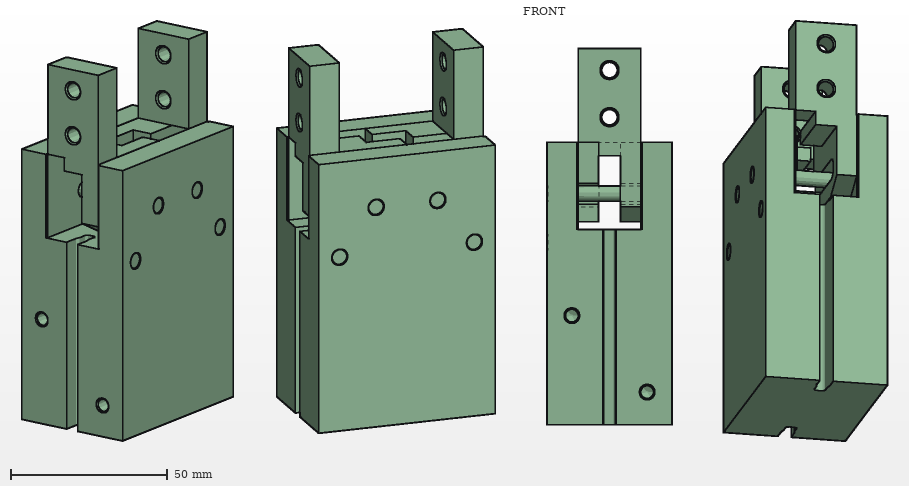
import cadquery as cq
TOTAL_HEIGHT = 120.5
HOUSING_WIDTH = 40.0
HOUSING_DEPTH = 60.0
HOUSING_HEIGHT = 90.5

SLOT_WIDTH = 21.0
SLOT_FLOOR = 62.5
LINER_THICKNESS = 0.5

PIN_DIAMETER = 5.0
PIN_RECESS_DEPTH = 0.2
PIN_RECESS_MOUTH = 5.4
PIN_Y = 10.5
PIN_Z = 74.0
LOWER_RECESS_Y = 22.9
LOWER_RECESS_Z = 58.6

GROOVE_MOUTH_WIDTH = 4.3
GROOVE_MOUTH_DEPTH = 5.1
GROOVE_TAPER_DEPTH = 1.5
GROOVE_INNER_WIDTH = 3.6
GROOVE_DEPTH = 10.5
GROOVE_CORNER_RADIUS = 1.2

PORT_X = 12.0
PORT_UPPER_Z = 35.0
PORT_LOWER_Z = 10.5
PORT_DIAMETER = 4.1
PORT_MOUTH_DIAMETER = 5.0
PORT_DEPTH = 10.0
DRILL_TIP_RATIO = 0.6

JAW_WIDTH = SLOT_WIDTH - 2 * LINER_THICKNESS
FINGER_OUTER_Y = 29.5
FINGER_THICKNESS = 10.1
BRIDGE_HALF_WIDTH = 3.5
BRIDGE_END_Y = 8.0
BRIDGE_BOTTOM = 86.0
ARM_REACH = 3.5
ARM_BOTTOM = 65.0
BEVEL_HEIGHT = 4.8
BEVEL_LENGTH = 9.0
GUIDE_HEIGHT = 6.7
GUIDE_END_Y = 24.6

FINGER_HOLE_DIAMETER = 5.0
FINGER_HOLE_CHAMFER = 0.54
FINGER_HOLE_DROP = 7.0
FINGER_HOLE_SPACING = 15.1


def box(x_range, y_range, z_range):
    """Box between the given limits on each axis."""
    sizes = [high - low for low, high in (x_range, y_range, z_range)]
    corner = (x_range[0], y_range[0], z_range[0])
    return cq.Workplane("XY").box(*sizes, centered=False).translate(corner)


def cross_rod(y, z, diameter, x_start, x_end):
    """Cylinder along X between two X positions."""
    rod = cq.Workplane("YZ").center(y, z).circle(diameter / 2).extrude(x_end - x_start)
    return rod.translate((x_start, 0, 0))


def turned_about_z(shape):
    """Copy turned half a turn about the vertical axis."""
    return shape.rotate((0, 0, 0), (0, 0, 1), 180)


def sensor_groove():
    """Front groove: wide mouth tapering into a narrower channel with rounded bottom corners."""
    front = -HOUSING_DEPTH / 2
    half_mouth = GROOVE_MOUTH_WIDTH / 2
    half_inner = GROOVE_INNER_WIDTH / 2
    taper_start = front + GROOVE_MOUTH_DEPTH
    taper_end = taper_start + GROOVE_TAPER_DEPTH
    bottom = front + GROOVE_DEPTH
    outline = [
        (-half_mouth, front),
        (-half_mouth, taper_start),
        (-half_inner, taper_end),
        (-half_inner, bottom),
        (half_inner, bottom),
        (half_inner, taper_end),
        (half_mouth, taper_start),
        (half_mouth, front),
    ]
    groove = cq.Workplane("XY").polyline(outline).close().extrude(SLOT_FLOOR)
    return groove.edges("|Z and >Y").fillet(GROOVE_CORNER_RADIUS)


def pin_recess(y, z):
    """Shallow tapered recess in the left face."""
    recess = cq.Workplane("YZ").center(y, z).circle(PIN_RECESS_MOUTH / 2)
    recess = recess.workplane(offset=PIN_RECESS_DEPTH).circle(PIN_DIAMETER / 2).loft()
    return recess.translate((-HOUSING_WIDTH / 2, 0, 0))


def air_port(x, z):
    """Drilled port with a conical tip and a chamfered mouth, entering from the front."""
    radius = PORT_DIAMETER / 2
    mouth_radius = PORT_MOUTH_DIAMETER / 2
    tip = PORT_DEPTH + DRILL_TIP_RATIO * radius
    profile = [
        (0, 0),
        (mouth_radius, 0),
        (radius, mouth_radius - radius),
        (radius, PORT_DEPTH),
        (0, tip),
    ]
    port = cq.Workplane("XY").polyline(profile).close().revolve(360, (0, 0), (0, 1))
    return port.translate((x, -HOUSING_DEPTH / 2, z))


def make_housing():
    half_width = HOUSING_WIDTH / 2
    half_depth = HOUSING_DEPTH / 2
    half_slot = SLOT_WIDTH / 2
    body = box((-half_width, half_width), (-half_depth, half_depth), (0, HOUSING_HEIGHT))
    body = body.cut(
        box((-half_slot, half_slot), (-half_depth, half_depth), (SLOT_FLOOR, HOUSING_HEIGHT))
    )

    groove = sensor_groove()
    body = body.cut(groove).cut(turned_about_z(groove))
    body = body.cut(air_port(-PORT_X, PORT_UPPER_Z)).cut(air_port(PORT_X, PORT_LOWER_Z))

    for side in (-1, 1):
        body = body.union(
            cross_rod(side * PIN_Y, PIN_Z, PIN_DIAMETER, -half_width, half_width)
        )

    for y, z in ((PIN_Y, PIN_Z), (LOWER_RECESS_Y, LOWER_RECESS_Z)):
        for side in (-1, 1):
            recess = pin_recess(side * y, z)
            body = body.cut(recess).cut(turned_about_z(recess))

    liner = box(
        (-half_slot, -half_slot + LINER_THICKNESS),
        (-FINGER_OUTER_Y, FINGER_OUTER_Y),
        (SLOT_FLOOR, HOUSING_HEIGHT),
    )
    for side_liner in (liner, turned_about_z(liner)):
        body = body.union(side_liner, clean=False)
    return body


def finger_hole(z):
    """Hole through the front finger, chamfered at both faces."""
    radius = FINGER_HOLE_DIAMETER / 2
    mouth_radius = radius + FINGER_HOLE_CHAMFER
    profile = [
        (0, 0),
        (mouth_radius, 0),
        (radius, FINGER_HOLE_CHAMFER),
        (radius, FINGER_THICKNESS - FINGER_HOLE_CHAMFER),
        (mouth_radius, FINGER_THICKNESS),
        (0, FINGER_THICKNESS),
    ]
    hole = cq.Workplane("XY").polyline(profile).close().revolve(360, (0, 0), (0, 1))
    return hole.translate((0, -FINGER_OUTER_Y, z))


def jaw_arm():
    """Arm on the +X side: bevelled under the finger and slotted to its free end."""
    width = JAW_WIDTH / 2 - BRIDGE_HALF_WIDTH
    outline = [
        (-FINGER_OUTER_Y, HOUSING_HEIGHT),
        (-FINGER_OUTER_Y, ARM_BOTTOM + BEVEL_HEIGHT),
        (-FINGER_OUTER_Y + BEVEL_LENGTH, ARM_BOTTOM),
        (ARM_REACH, ARM_BOTTOM),
        (ARM_REACH, HOUSING_HEIGHT),
    ]
    arm = cq.Workplane("YZ").polyline(outline).close().extrude(width)
    arm = arm.translate((BRIDGE_HALF_WIDTH, 0, 0))

    half_guide = GUIDE_HEIGHT / 2
    round_y = -GUIDE_END_Y + half_guide
    x_range = (BRIDGE_HALF_WIDTH, JAW_WIDTH / 2)
    z_range = (PIN_Z - half_guide, PIN_Z + half_guide)
    arm = arm.cut(box(x_range, (round_y, ARM_REACH), z_range))
    return arm.cut(cross_rod(round_y, PIN_Z, GUIDE_HEIGHT, *x_range))


def make_jaw():
    """Front jaw; the back jaw is the same part turned round."""
    half_width = JAW_WIDTH / 2
    finger_y = (-FINGER_OUTER_Y, -FINGER_OUTER_Y + FINGER_THICKNESS)
    finger = box((-half_width, half_width), finger_y, (HOUSING_HEIGHT, TOTAL_HEIGHT))
    for index in range(2):
        drop = FINGER_HOLE_DROP + index * FINGER_HOLE_SPACING
        finger = finger.cut(finger_hole(TOTAL_HEIGHT - drop))

    bridge = box(
        (-BRIDGE_HALF_WIDTH, BRIDGE_HALF_WIDTH),
        (-FINGER_OUTER_Y, -BRIDGE_END_Y),
        (BRIDGE_BOTTOM, HOUSING_HEIGHT),
    )
    return finger.union(bridge).union(jaw_arm())


housing = make_housing()
front_jaw = make_jaw()
back_jaw = turned_about_z(front_jaw)

result = cq.Compound.makeCompound([body.solids().val() for body in (housing, front_jaw, back_jaw)])